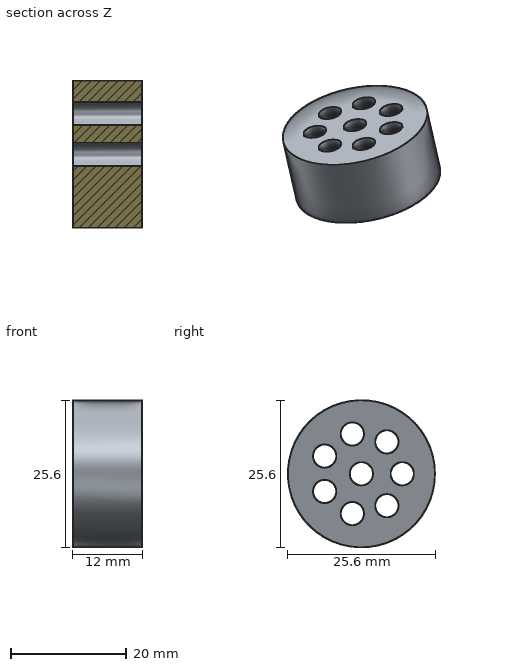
import cadquery as cq

disc_diameter = 25.6
disc_thickness = 12.0
hole_diameter = 4.0
hole_circle_radius = 7.1
ring_hole_count = 7

disc = cq.Workplane("YZ").circle(disc_diameter / 2).extrude(disc_thickness)

center_hole = cq.Workplane("YZ").circle(hole_diameter / 2).extrude(disc_thickness)
ring_holes = (
    cq.Workplane("YZ")
    .polarArray(hole_circle_radius, 0, 360, ring_hole_count)
    .circle(hole_diameter / 2)
    .extrude(disc_thickness)
)

result = disc.cut(center_hole).cut(ring_holes)